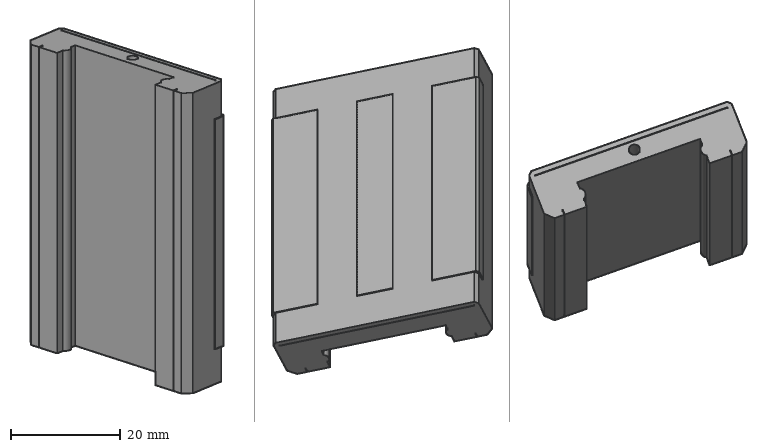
import cadquery as cq
import math

length = 59.1
overall_width = 40.0
overall_depth = 10.2

pad_thickness = 0.225
pad_length = 45.2
corner_pad_wrap = 2.85
corner_pad_inner_x = 11.05
center_pad_width = 6.9
pad_corner_chamfer = 0.5

sleeve_thickness = 1.0
front_chamfer = 1.5
back_chamfer = 0.65
lip_width = 3.35

channel_width = 23.95
channel_depth = 5.0
bead_radius = 1.25
bead_height = 0.65
bead_y = 2.7
end_hole_diameter = 2.0
end_hole_y = 7.25
end_hole_depth = 5.9
clearance = 0.1

half_width = overall_width / 2
half_sleeve = half_width - pad_thickness
half_core = half_sleeve - sleeve_thickness
half_channel = channel_width / 2
sleeve_back = overall_depth - pad_thickness
sleeve_inner_back = sleeve_back - sleeve_thickness
core_back = sleeve_inner_back - clearance
lip_end_x = half_sleeve - lip_width
core_step_x = lip_end_x - clearance
inner_chamfer = front_chamfer - (2 - math.sqrt(2)) * sleeve_thickness
bead_half_chord = math.sqrt(bead_radius ** 2 - (bead_radius - bead_height) ** 2)


def centered_prism(sketch, prism_length):
    """Extrude a closed XY outline along Z, centred on Z = 0."""
    return sketch.extrude(prism_length / 2, both=True)


def mirrored_outline(right_half):
    """Close an outline from the points of its right half, left half mirrored."""
    left_half = [(-x, y) for x, y in reversed(right_half)]
    return cq.Workplane("XY").polyline(right_half + left_half).close()


def make_sleeve():
    """C-shaped sheet with chamfered corners and two lips on the front."""
    outline = mirrored_outline([
        (lip_end_x, sleeve_inner_back),
        (lip_end_x, 0),
        (half_sleeve - front_chamfer, 0),
        (half_sleeve, front_chamfer),
        (half_sleeve, sleeve_back - back_chamfer),
        (half_sleeve - back_chamfer, sleeve_back),
    ])
    inside = mirrored_outline([
        (half_core - inner_chamfer, sleeve_thickness),
        (half_core, sleeve_thickness + inner_chamfer),
        (half_core, sleeve_inner_back),
    ])
    return centered_prism(outline, length).cut(centered_prism(inside, length))


def make_core():
    """Block that fills the sleeve, with a beaded channel and an end hole."""
    outline = (
        cq.Workplane("XY")
        .moveTo(0, core_back)
        .lineTo(half_core, core_back)
        .lineTo(half_core, sleeve_thickness + inner_chamfer)
        .lineTo(half_core - inner_chamfer, sleeve_thickness)
        .lineTo(core_step_x, sleeve_thickness)
        .lineTo(core_step_x, 0)
        .lineTo(half_channel, 0)
        .lineTo(half_channel, bead_y - bead_half_chord)
        .threePointArc(
            (half_channel - bead_height, bead_y),
            (half_channel, bead_y + bead_half_chord),
        )
        .lineTo(half_channel, channel_depth)
        .lineTo(0, channel_depth)
        .mirrorY()
    )
    end_hole = (
        cq.Workplane("XY", origin=(0, end_hole_y, length / 2))
        .circle(end_hole_diameter / 2)
        .extrude(-end_hole_depth)
    )
    return centered_prism(outline, length).cut(end_hole)


def make_pads():
    """Two mirrored corner pads and one pad along the middle of the back."""
    wrap_y = overall_depth - corner_pad_wrap
    corner_outline = cq.Workplane("XY").polyline([
        (corner_pad_inner_x, sleeve_back),
        (corner_pad_inner_x, overall_depth),
        (half_width - pad_corner_chamfer, overall_depth),
        (half_width, overall_depth - pad_corner_chamfer),
        (half_width, wrap_y),
        (half_sleeve, wrap_y),
        (half_sleeve, sleeve_back - back_chamfer),
        (half_sleeve - back_chamfer, sleeve_back),
    ]).close()
    right_pad = centered_prism(corner_outline, pad_length)
    center_outline = (
        cq.Workplane("XY")
        .center(0, sleeve_back + pad_thickness / 2)
        .rect(center_pad_width, pad_thickness)
    )
    center_pad = centered_prism(center_outline, pad_length)
    return [right_pad, right_pad.mirror("YZ"), center_pad]


result = make_sleeve().union(make_core(), clean=False)
for pad in make_pads():
    result = result.union(pad, clean=False)